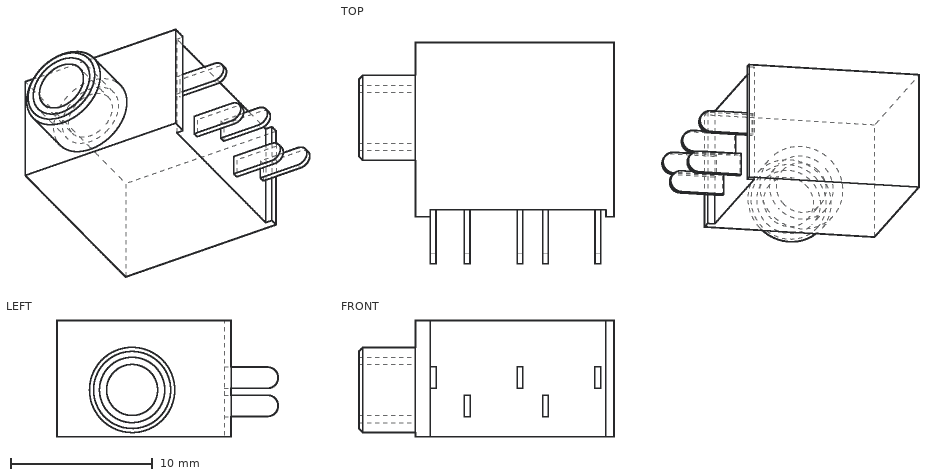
import cadquery as cq


overall_length = 18.0
barrel_length = 4.0
body_length = overall_length - barrel_length
body_width = 12.3
body_height = 8.2
axis_to_back = 5.31
axis_to_top = 4.9
barrel_radius = 3.0
barrel_chamfer = 0.29

foot_height = 0.5
front_foot_length = 1.03
rear_foot_length = 0.6

liner_radius = 2.3
bore_radius = 1.8
liner_length = barrel_length

pin_thickness = 0.41
pin_width = 1.51
pin_reach = 3.31
upper_row_below_top = 4.03
row_spacing = 1.98
upper_pin_offsets = [1.25, 7.36, 12.85]
lower_pin_offsets = [3.64, 9.16]

back_y = axis_to_back
foot_y = back_y - body_width
recess_y = foot_y + foot_height
pin_tip_y = foot_y - pin_reach
top_z = axis_to_top
bottom_z = top_z - body_height
upper_row_z = top_z - upper_row_below_top
lower_row_z = upper_row_z - row_spacing


def make_housing():
    """Body with end feet and a chamfered barrel, bored to seat the liner."""
    front_foot_end = barrel_length + front_foot_length
    rear_foot_start = overall_length - rear_foot_length
    body = (
        cq.Workplane("XY")
        .workplane(offset=bottom_z)
        .moveTo(barrel_length, back_y)
        .lineTo(barrel_length, foot_y)
        .lineTo(front_foot_end, foot_y)
        .lineTo(front_foot_end, recess_y)
        .lineTo(rear_foot_start, recess_y)
        .lineTo(rear_foot_start, foot_y)
        .lineTo(overall_length, foot_y)
        .lineTo(overall_length, back_y)
        .close()
        .extrude(body_height)
    )
    barrel = (
        cq.Workplane("YZ")
        .circle(barrel_radius)
        .extrude(barrel_length)
        .faces("<X")
        .chamfer(barrel_chamfer)
    )
    liner_seat = cq.Workplane("YZ").circle(liner_radius).extrude(liner_length)
    return body.union(barrel).cut(liner_seat)


def make_liner():
    """Plain sleeve, flush with the barrel mouth."""
    return cq.Workplane("YZ").circle(liner_radius).circle(bore_radius).extrude(liner_length)


def make_pin(center_x, center_z):
    """Flat pin standing on the recess floor, with a fully rounded tip."""
    half_width = pin_width / 2
    round_start_y = pin_tip_y + half_width
    return (
        cq.Workplane("YZ")
        .workplane(offset=center_x - pin_thickness / 2)
        .moveTo(recess_y, center_z + half_width)
        .lineTo(round_start_y, center_z + half_width)
        .threePointArc((pin_tip_y, center_z), (round_start_y, center_z - half_width))
        .lineTo(recess_y, center_z - half_width)
        .close()
        .extrude(pin_thickness)
    )


housing = make_housing()
liner = make_liner()

pins = []
for row_z, offsets in [(upper_row_z, upper_pin_offsets), (lower_row_z, lower_pin_offsets)]:
    for offset in offsets:
        pins.append(make_pin(barrel_length + offset, row_z))

result = cq.Compound.makeCompound([housing.val(), liner.val(), *[pin.val() for pin in pins]])